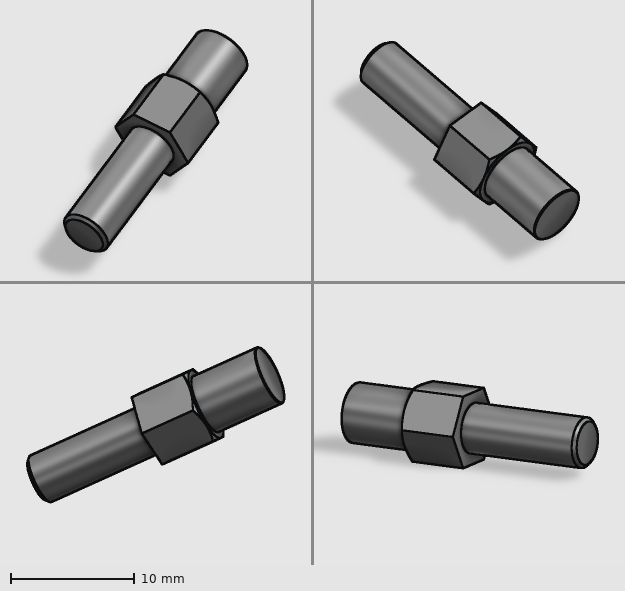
import cadquery as cq
import math

total_length = 21.5
hexagon_sides = 6
across_flats = 6.0
collar_length = 5.0
rear_length = 5.94
rear_diameter = 5.0
rear_chamfer = 0.06
front_diameter = 4.17
front_chamfer = 0.3
collar_chamfer_angle = 30.0

front_end = -total_length / 2
rear_end = total_length / 2
collar_rear = rear_end - rear_length
collar_front = collar_rear - collar_length
across_corners = across_flats / math.cos(math.pi / hexagon_sides)


def plane_at(y):
    """Plane normal to Y at the given place, its normal pointing to +Y."""
    return cq.Plane(origin=(0, y, 0), xDir=(1, 0, 0), normal=(0, 1, 0))


def rod(diameter, y_start, y_end):
    """Round bar along Y."""
    return cq.Workplane(plane_at(y_start)).circle(diameter / 2).extrude(y_end - y_start)


def hex_collar():
    """Hexagon with corners on X, its rear corners turned off by a cone touching the flats."""
    hexagon = cq.Workplane(plane_at(collar_front)).polygon(hexagon_sides, across_corners).extrude(collar_length)
    flat_radius = across_flats / 2
    corner_radius = across_corners / 2
    chamfer_depth = (corner_radius - flat_radius) * math.tan(math.radians(collar_chamfer_angle))
    turned_blank = (
        cq.Workplane("XY")
        .moveTo(0, collar_front)
        .lineTo(corner_radius, collar_front)
        .lineTo(corner_radius, collar_rear - chamfer_depth)
        .lineTo(flat_radius, collar_rear)
        .lineTo(0, collar_rear)
        .close()
        .revolve(360, (0, 0, 0), (0, 1, 0))
    )
    return hexagon.intersect(turned_blank)


front_stud = rod(front_diameter, front_end, collar_front).faces("<Y").chamfer(front_chamfer)
rear_stud = rod(rear_diameter, collar_rear, rear_end).faces(">Y").chamfer(rear_chamfer)

result = hex_collar().union(front_stud).union(rear_stud)